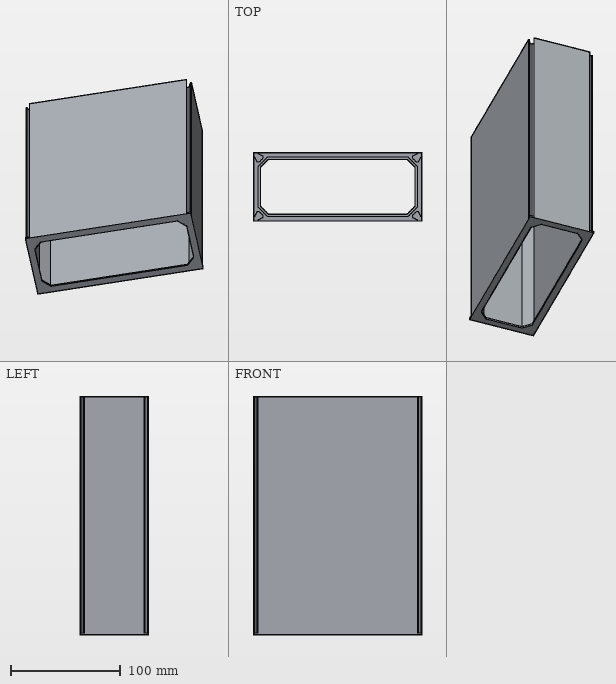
import cadquery as cq
import math

LENGTH = 153.2
WIDTH = 62.3
HEIGHT = 217.0

WALL = 4.1
CAVITY_CHAMFER = 8.5
FRAME_THICKNESS = 1.7
LEDGE = 2.2

MOUTH_SETBACK = 4.0
LIP = 0.9
POCKET_NEAR = 3.3
POCKET_FAR = 8.7
POCKET_SIDE = 1.7


def octagon_prism(wall, chamfer):
    """Full-height prism inset from the box by wall, with chamfered corners."""
    return (
        cq.Workplane("XY")
        .rect(LENGTH - 2 * wall, WIDTH - 2 * wall)
        .extrude(HEIGHT)
        .edges("|Z")
        .chamfer(chamfer)
    )


def corner_channel(x_sign, y_sign):
    """Channel along one vertical edge, running from the frame to the top."""
    half_outline = [
        (MOUTH_SETBACK, 0),
        (MOUTH_SETBACK, LIP),
        (POCKET_FAR, POCKET_NEAR),
        (POCKET_FAR, POCKET_NEAR + POCKET_SIDE),
    ]
    mirrored_half = [(across, along) for along, across in reversed(half_outline)]
    corner_outline = [(0, 0)] + half_outline + mirrored_half
    points = [
        (x_sign * (LENGTH / 2 - x), y_sign * (WIDTH / 2 - y))
        for x, y in corner_outline
    ]
    return (
        cq.Workplane("XY", origin=(0, 0, FRAME_THICKNESS))
        .polyline(points)
        .close()
        .extrude(HEIGHT - FRAME_THICKNESS)
    )


chamfer_reduction = LEDGE * (2 - math.sqrt(2))

cavity = octagon_prism(WALL, CAVITY_CHAMFER).translate((0, 0, FRAME_THICKNESS))
frame_opening = octagon_prism(WALL + LEDGE, CAVITY_CHAMFER - chamfer_reduction)

result = cq.Workplane("XY").rect(LENGTH, WIDTH).extrude(HEIGHT)
result = result.cut(cavity).cut(frame_opening)

for x_sign in (-1, 1):
    for y_sign in (-1, 1):
        result = result.cut(corner_channel(x_sign, y_sign))